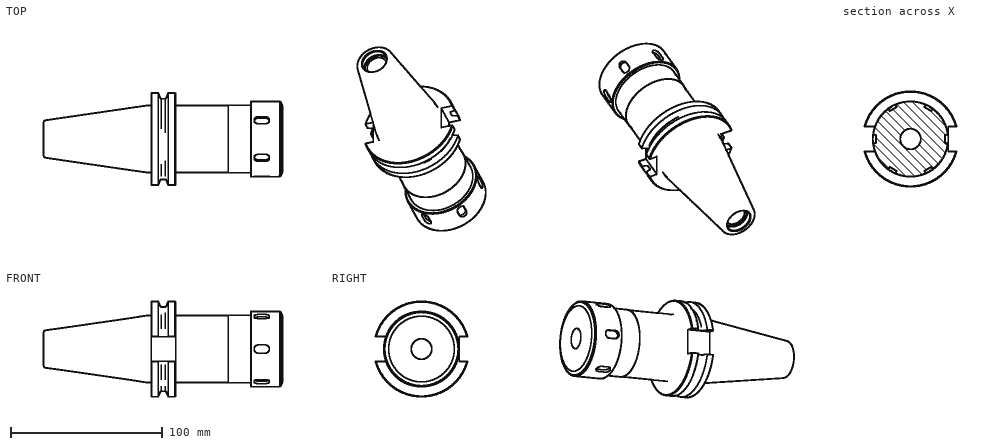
import cadquery as cq
import math

total_length = 158.2

taper_end = 68.2
taper_ratio = 7 / 24
flange_start = 71.2
flange_end = 87.5
collar_start = 122.3
nut_start = 137.0

neck_dia = 44.5
tip_dia = neck_dia - taper_end * taper_ratio
collar_dia = 45.0
flange_dia = 63.3
tip_fillet = 1.9
flange_chamfer = 0.5
flange_root_fillet = 0.3

groove_centre = 79.3
groove_floor_dia = 56.0
groove_floor_width = 3.5
groove_mouth_width = 6.6
groove_fillet = 0.5

drive_slot_width = 16.3
drive_slot_chamfer = 0.24
front_floor_offset = 22.6
back_floor_offset = 25.0

through_dia = 13.5
socket_dia = 16.8
pilot_dia = 16.3
socket_mouth_dia = 17.7
socket_mouth_chamfer = (socket_mouth_dia - socket_dia) / 2
socket_depth = 4.1
pilot_depth = 5.0

nut_dia = 50.0
nut_back_chamfer = 0.5
nut_front_chamfer = 0.8
nut_cone_start = 157.3
nut_face_dia = 43.5
wrench_slots = 6
wrench_slot_length = 10.1
wrench_slot_width = 5.4
wrench_slot_centre = 144.5
wrench_slot_floor = 23.0


def revolve_about_x(points):
    """Revolve a closed (x, radius) outline about the X axis."""
    return cq.Workplane("XY").polyline(points).close().revolve(360, (0, 0, 0), (1, 0, 0))


def ring_at(x, diameter):
    """Selector for the circular edge at station x with the given diameter."""
    margin = 0.08
    reach = diameter / 2 + margin
    return cq.selectors.BoxSelector(
        (x - margin, -reach, -reach), (x + margin, reach, reach), boundingbox=True
    )


def make_holder_blank():
    """Taper, flange, neck and collar, without slots and bore."""
    neck = neck_dia / 2
    rim = flange_dia / 2
    profile = [
        (0, 0),
        (0, tip_dia / 2),
        (taper_end, neck),
        (flange_start, neck),
        (flange_start, rim - flange_chamfer),
        (flange_start + flange_chamfer, rim),
        (groove_centre - groove_mouth_width / 2, rim),
        (groove_centre - groove_floor_width / 2, groove_floor_dia / 2),
        (groove_centre + groove_floor_width / 2, groove_floor_dia / 2),
        (groove_centre + groove_mouth_width / 2, rim),
        (flange_end - flange_chamfer, rim),
        (flange_end, rim - flange_chamfer),
        (flange_end, neck),
        (collar_start, neck),
        (collar_start, collar_dia / 2),
        (nut_start, collar_dia / 2),
        (nut_start, 0),
    ]
    blank = revolve_about_x(profile).faces("<X").edges().fillet(tip_fillet)
    blank = blank.edges(ring_at(flange_start, neck_dia)).fillet(flange_root_fillet)
    blank = blank.edges(ring_at(flange_end, neck_dia)).fillet(flange_root_fillet)
    for side in (-1, 1):
        corner = groove_centre + side * groove_floor_width / 2
        blank = blank.edges(ring_at(corner, groove_floor_dia)).fillet(groove_fillet)
    return blank


def make_drive_slot(side, floor_offset):
    """Cutter for one drive slot on the +Y (side = 1) or -Y (side = -1) edge of the flange.

    The walls open at 45 degrees near the rim, which chamfers the outer slot edges.
    """
    half = drive_slot_width / 2
    outer = flange_dia / 2
    chamfered_half = half + drive_slot_chamfer
    rim_offset = math.sqrt(outer**2 - chamfered_half**2)
    wall_end = rim_offset - drive_slot_chamfer
    mouth_half = half + outer - wall_end
    outline = [
        (side * floor_offset, -half),
        (side * wall_end, -half),
        (side * outer, -mouth_half),
        (side * outer, mouth_half),
        (side * wall_end, half),
        (side * floor_offset, half),
    ]
    return (
        cq.Workplane("YZ", origin=(flange_start, 0, 0))
        .polyline(outline)
        .close()
        .extrude(flange_end - flange_start)
    )


def make_bore():
    """Through bore with a stepped, chamfered socket at the small end of the taper."""
    profile = [
        (0, 0),
        (0, socket_mouth_dia / 2),
        (socket_mouth_chamfer, socket_dia / 2),
        (socket_depth, socket_dia / 2),
        (socket_depth, pilot_dia / 2),
        (pilot_depth, pilot_dia / 2),
        (pilot_depth, through_dia / 2),
        (total_length, through_dia / 2),
        (total_length, 0),
    ]
    return revolve_about_x(profile)


def make_holder():
    """Tapered holder that ends flat against the back of the nut."""
    return (
        make_holder_blank()
        .cut(make_drive_slot(-1, front_floor_offset))
        .cut(make_drive_slot(1, back_floor_offset))
        .cut(make_bore())
    )


def make_wrench_slot(angle):
    """Cutter for one flat-bottomed wrench slot, turned about X from the -Y side.

    It starts at the slot floor and reaches well outside the nut.
    """
    return (
        cq.Workplane("XZ", origin=(wrench_slot_centre, -wrench_slot_floor, 0))
        .slot2D(wrench_slot_length, wrench_slot_width)
        .extrude(nut_dia / 2)
        .rotate((0, 0, 0), (1, 0, 0), angle)
    )


def make_nut():
    """Nut with a chamfered rim, a conical front and wrench slots around it."""
    profile = [
        (nut_start, 0),
        (nut_start, nut_dia / 2 - nut_back_chamfer),
        (nut_start + nut_back_chamfer, nut_dia / 2),
        (nut_cone_start - nut_front_chamfer, nut_dia / 2),
        (nut_cone_start, nut_dia / 2 - nut_front_chamfer),
        (total_length, nut_face_dia / 2),
        (total_length, 0),
    ]
    nut = revolve_about_x(profile).cut(make_bore())
    for index in range(wrench_slots):
        nut = nut.cut(make_wrench_slot(index * 360 / wrench_slots))
    return nut


holder = make_holder()
nut = make_nut()
result = cq.Compound.makeCompound([holder.val(), nut.val()])